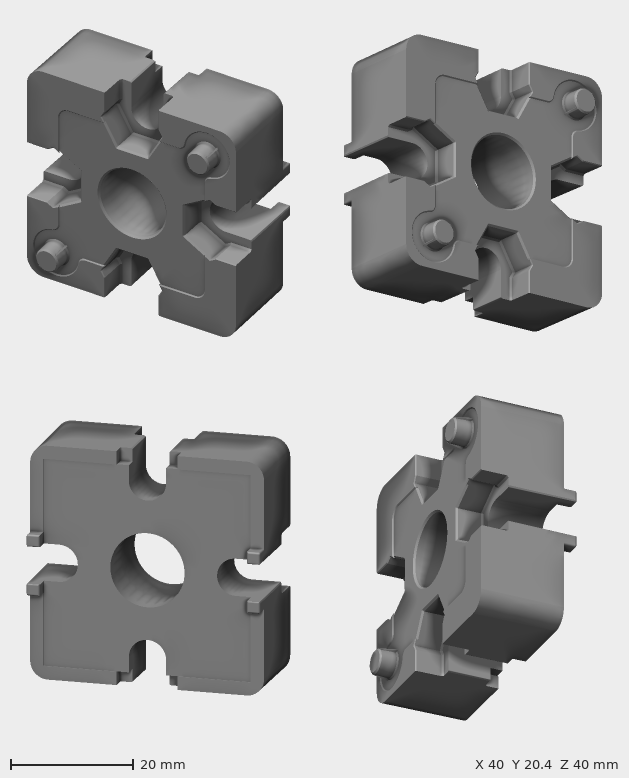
import cadquery as cq
import math


SIDE = 40.05
BODY_DEPTH = 15.0
CORNER_RADIUS = 3.0
DRAFT_ANGLE = 0.5
MARGIN = 2.0

BORE_RADIUS = 6.25
BORE_CHAMFER = 0.32

RECESS_DEPTH = 0.2
PANEL_SIDE = 28.2
PANEL_CORNER_RADIUS = 2.0
PANEL_LOBE_RADIUS = 4.4
PANEL_BLEND_RADIUS = 1.2

SLOT_CENTRE = 15.0
SLOT_HALF_WIDTH = 3.1
SLOT_MOUTH_FLARE = 0.52
SLOT_MOUTH_DEPTH = 0.3
NUT_ACROSS_FLATS = 10.0
NUT_DEPTH = 5.0
CHANNEL_HALF_WIDTH = 5.13
NUT_FLOOR_CHAMFER = 0.32
NUT_PANEL_CHAMFER = 0.32
NUT_BODY_CHAMFER = 0.15

PIN_CENTRE = 14.45
PIN_LENGTH = 3.0
PIN_BASE_RADIUS = 2.25
PIN_TIP_RADIUS = 2.15
PIN_TIP_CHAMFER = 0.3
PIN_FOOT_RADIUS = 2.5
RIB_WIDTH = 0.32
RIB_BASE_RADIUS = 2.75
RIB_TIP_RADIUS = 2.25

TAB_LENGTH = 2.35
TAB_DEPTH = 2.4
TAB_HALF_SPAN = 5.2
TAB_EDGE_RADIUS = 0.32
TAB_ROOT = 1.2

RIM_SIDE = SIDE - 2 * TAB_DEPTH
BACK_END = BODY_DEPTH + TAB_LENGTH


def front_plane(y):
    """Plane facing -Y at depth y: local x is X, local y is Z."""
    return cq.Workplane("XZ", origin=(0, y, 0))


def box(x_range, y_range, z_range):
    """Box from its limits on each axis."""
    sizes = [high - low for low, high in (x_range, y_range, z_range)]
    corner = (x_range[0], y_range[0], z_range[0])
    return cq.Workplane().box(*sizes, centered=False).translate(corner)


def around(solid, angle):
    """Turn a feature about the Y axis."""
    return solid.rotate((0, 0, 0), (0, 1, 0), angle)


def draft_over(length):
    """Sideways shift of a drafted wall over the given length."""
    return length * math.tan(math.radians(DRAFT_ANGLE))


def drafted_prism(depth):
    """Rounded square prism from the front face back to the given depth, narrowing on the way."""
    back_side = SIDE - 2 * draft_over(depth)
    outline = cq.Sketch().rect(back_side, back_side).vertices().fillet(CORNER_RADIUS)
    return front_plane(depth).placeSketch(outline).extrude(depth, taper=-DRAFT_ANGLE)


def tab(x_sign, z_sign):
    """Rounded tab standing behind a side face, next to its slot."""
    x_range = sorted((x_sign * SIDE, x_sign * RIM_SIDE / 2))
    z_range = sorted((z_sign * SLOT_HALF_WIDTH, z_sign * TAB_HALF_SPAN))
    blank = box(x_range, (BODY_DEPTH - TAB_ROOT, BACK_END), z_range)
    blank = blank.intersect(drafted_prism(BACK_END))
    outer_edge = cq.selectors.NearestToPointSelector(
        (x_sign * SIDE / 2, BODY_DEPTH, z_sign * TAB_HALF_SPAN)
    )
    return blank.edges(">Y").add(blank.edges(outer_edge)).fillet(TAB_EDGE_RADIUS)


def notch(x_sign, z_sign):
    """Cutter for a notch at the back of the upper or lower slot."""
    x_range = sorted((0, x_sign * TAB_HALF_SPAN))
    z_range = sorted((z_sign * RIM_SIDE / 2, z_sign * SIDE))
    y_range = (BODY_DEPTH - TAB_DEPTH, BODY_DEPTH + MARGIN)
    outer_x = ">X" if x_sign > 0 else "<X"
    return box(x_range, y_range, z_range).edges(f"<Y and {outer_x}").fillet(TAB_EDGE_RADIUS)


def panel(depth):
    """Panel-shaped solid reaching from in front of the block to the given depth."""
    height = depth + MARGIN
    square = front_plane(depth).rect(PANEL_SIDE, PANEL_SIDE).extrude(height)
    square = square.edges("|Y").fillet(PANEL_CORNER_RADIUS)
    pin_points = [(PIN_CENTRE, PIN_CENTRE), (-PIN_CENTRE, -PIN_CENTRE)]
    lobes = front_plane(depth).pushPoints(pin_points).circle(PANEL_LOBE_RADIUS).extrude(height)
    shape = square.union(lobes)
    half_side = PANEL_SIDE / 2
    meeting = PIN_CENTRE - math.sqrt(PANEL_LOBE_RADIUS**2 - (PIN_CENTRE - half_side) ** 2)
    middle_y = depth - height / 2
    for sign in (-1, 1):
        for x, z in ((half_side, meeting), (meeting, half_side)):
            inner_corner = cq.selectors.NearestToPointSelector((sign * x, middle_y, sign * z))
            shape = shape.edges(inner_corner).fillet(PANEL_BLEND_RADIUS)
    return shape


def slot_cutter():
    """Through slot with a round end and a flared mouth, opening upward and widening to the back."""
    height = BACK_END + MARGIN - NUT_DEPTH
    back_half_width = SLOT_HALF_WIDTH + draft_over(height)
    mouth_start = SIDE / 2 - SLOT_MOUTH_DEPTH
    flare_height = 2 * SLOT_MOUTH_DEPTH
    mouth_half_width = back_half_width + 2 * SLOT_MOUTH_FLARE
    top = mouth_start + flare_height
    return (
        front_plane(BACK_END + MARGIN)
        .moveTo(-back_half_width, SLOT_CENTRE)
        .threePointArc((0, SLOT_CENTRE - back_half_width), (back_half_width, SLOT_CENTRE))
        .lineTo(back_half_width, mouth_start)
        .lineTo(mouth_half_width, top)
        .lineTo(-mouth_half_width, top)
        .lineTo(-back_half_width, mouth_start)
        .close()
        .extrude(height, taper=DRAFT_ANGLE)
    )


def nut_outline(depth):
    """Nut pocket outline at a given depth: a hexagon open to the top edge."""
    circumradius = NUT_ACROSS_FLATS / math.sqrt(3)
    shoulder = SLOT_CENTRE + (circumradius - CHANNEL_HALF_WIDTH) * math.sqrt(3)
    top = SIDE / 2 + MARGIN
    right = [
        (circumradius / 2, SLOT_CENTRE - NUT_ACROSS_FLATS / 2),
        (circumradius, SLOT_CENTRE),
        (CHANNEL_HALF_WIDTH, shoulder),
        (CHANNEL_HALF_WIDTH, top),
    ]
    left = [(-x, z) for x, z in reversed(right)]
    return front_plane(depth).polyline(right + left).close()


def nut_cutter(panel_column):
    """Nut pocket with a chamfered floor and chamfered front edges."""
    pocket = nut_outline(NUT_DEPTH).extrude(NUT_DEPTH + MARGIN)
    pocket = pocket.faces(">Y").chamfer(NUT_FLOOR_CHAMFER)
    body_flare = nut_outline(NUT_BODY_CHAMFER).extrude(NUT_BODY_CHAMFER, taper=-45)
    panel_flare = nut_outline(RECESS_DEPTH + NUT_PANEL_CHAMFER).extrude(NUT_PANEL_CHAMFER, taper=-45)
    return pocket.union(body_flare).union(panel_flare.intersect(panel_column))


def pin():
    """Tapered pin with two crush ribs along the diagonal, standing at the origin."""
    neck = RECESS_DEPTH - (PIN_FOOT_RADIUS - PIN_BASE_RADIUS)
    profile = [
        (0, RECESS_DEPTH),
        (PIN_FOOT_RADIUS, RECESS_DEPTH),
        (PIN_BASE_RADIUS, neck),
        (PIN_TIP_RADIUS, PIN_TIP_CHAMFER - PIN_LENGTH),
        (PIN_TIP_RADIUS - PIN_TIP_CHAMFER, -PIN_LENGTH),
        (0, -PIN_LENGTH),
    ]
    post = cq.Workplane("XY").polyline(profile).close().revolve(360, (0, 0), (0, 1))
    rib_end = PIN_TIP_CHAMFER - PIN_LENGTH
    rib_profile = [
        (-RIB_BASE_RADIUS, RECESS_DEPTH),
        (RIB_BASE_RADIUS, RECESS_DEPTH),
        (RIB_TIP_RADIUS, rib_end),
        (-RIB_TIP_RADIUS, rib_end),
    ]
    ribs = cq.Workplane("XY").polyline(rib_profile).close().extrude(RIB_WIDTH / 2, both=True)
    return post.union(around(ribs, -45))


def bore_cutter():
    """Bore that widens slightly from its waist to both ends, with a chamfered front edge."""
    waist = BODY_DEPTH / 2
    chamfer_start = RECESS_DEPTH + BORE_CHAMFER
    front_radius = BORE_RADIUS + draft_over(waist - chamfer_start)
    profile = [
        (0, RECESS_DEPTH),
        (front_radius + BORE_CHAMFER, RECESS_DEPTH),
        (front_radius, chamfer_start),
        (BORE_RADIUS, waist),
        (BORE_RADIUS + draft_over(waist), BODY_DEPTH),
        (0, BODY_DEPTH),
    ]
    return cq.Workplane("XY").polyline(profile).close().revolve(360, (0, 0), (0, 1))


block = drafted_prism(BODY_DEPTH)
for x_sign in (-1, 1):
    for z_sign in (-1, 1):
        block = block.union(tab(x_sign, z_sign))

back_recess = front_plane(BODY_DEPTH).rect(RIM_SIDE, RIM_SIDE).extrude(RECESS_DEPTH)
block = block.cut(back_recess)
for x_sign in (-1, 1):
    for z_sign in (-1, 1):
        block = block.cut(notch(x_sign, z_sign))

block = block.cut(panel(RECESS_DEPTH).faces(">Y").chamfer(RECESS_DEPTH))

slot = slot_cutter()
panel_column = panel(NUT_DEPTH)
for quarter in range(4):
    angle = 90 * quarter
    nut_pocket = nut_cutter(around(panel_column, -angle))
    block = block.cut(around(slot, angle)).cut(around(nut_pocket, angle))

block = block.cut(bore_cutter())

for sign in (-1, 1):
    block = block.union(pin().translate((sign * PIN_CENTRE, 0, sign * PIN_CENTRE)))

result = block